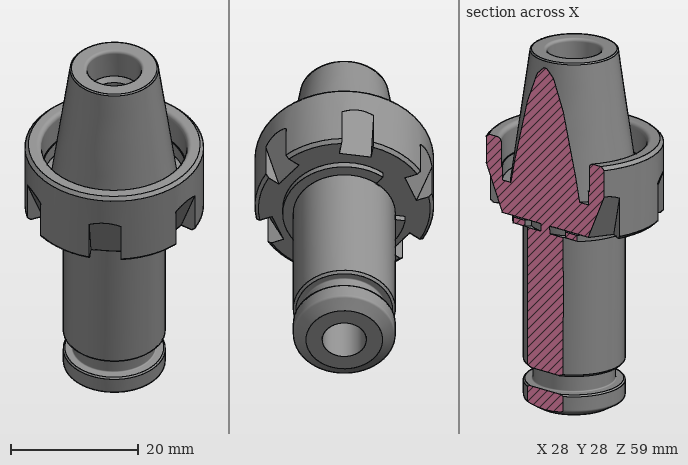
import cadquery as cq
import math

total_height = 59.0
shank_radius = 16.0 / 2
foot_radius = 6.0
foot_cone_angle = 30.0
foot_rounding = 0.5
groove_radius = 13.0 / 2
groove_bottom = 4.0
groove_top = 7.0
groove_lower_chamfer = 0.25
groove_upper_chamfer = 0.4
groove_fillet = 0.2

nut_radius = 28.0 / 2
nut_bottom = 31.5
nut_height = 12.5
nut_top = nut_bottom + nut_height
nut_chamfer = 0.55
mouth_radius = 24.3 / 2
nut_bore_radius = 22.8 / 2
mouth_rounding = mouth_radius - nut_bore_radius
step_height = 39.25
inner_bore_radius = 22.5 / 2

cone_base_radius = 10.0
cone_base_height = 37.0
cone_angle = 8.0
cone_edge_chamfer = 0.2

collar_radius = 19.3 / 2
collar_bottom = 30.3
collar_top = 31.35
neck_radius = 14.3 / 2
opening_angle = 60.0

slot_count = 6
slot_width = 5.0
slot_top = 39.05
slot_bottom_depth = 2.85
slot_overshoot = 1.0

bore_radius = 6.92 / 2
socket_radius = 8.5 / 2
socket_bottom = 54.2
socket_cone_height = 0.7
socket_rounding = 0.5

quarter_arc = math.sqrt(0.5)


def make_body():
    """Shank, neck, nut and cone turned as one profile about Z."""
    cone_slope = math.tan(math.radians(cone_angle))
    cone_top_radius = cone_base_radius - (total_height - cone_base_height) * cone_slope
    cone_edge_height = total_height - cone_edge_chamfer
    cone_edge_radius = cone_top_radius + cone_edge_chamfer * cone_slope
    foot_angle = math.radians(foot_cone_angle)
    foot_corner_height = (shank_radius - foot_radius) * math.tan(foot_angle)
    foot_tangent = foot_rounding * math.tan(math.radians(90 - foot_cone_angle) / 2)
    foot_rounding_start = (
        shank_radius - foot_tangent * math.cos(foot_angle),
        foot_corner_height - foot_tangent * math.sin(foot_angle),
    )
    foot_rounding_end = (shank_radius, foot_corner_height + foot_tangent)
    fillet_mid_radius = groove_radius + groove_fillet * (1 - quarter_arc)
    fillet_mid_rise = groove_fillet * (1 - quarter_arc)
    mouth_mid = (
        mouth_radius - mouth_rounding * quarter_arc,
        nut_top - mouth_rounding * (1 - quarter_arc),
    )
    profile = (
        cq.Workplane("XZ")
        .moveTo(0, 0)
        .lineTo(foot_radius, 0)
        .lineTo(*foot_rounding_start)
        .radiusArc(foot_rounding_end, -foot_rounding)
        .lineTo(shank_radius, groove_bottom - groove_lower_chamfer)
        .lineTo(shank_radius - groove_lower_chamfer, groove_bottom)
        .lineTo(groove_radius + groove_fillet, groove_bottom)
        .threePointArc(
            (fillet_mid_radius, groove_bottom + fillet_mid_rise),
            (groove_radius, groove_bottom + groove_fillet),
        )
        .lineTo(groove_radius, groove_top - groove_fillet)
        .threePointArc(
            (fillet_mid_radius, groove_top - fillet_mid_rise),
            (groove_radius + groove_fillet, groove_top),
        )
        .lineTo(shank_radius - groove_upper_chamfer, groove_top)
        .lineTo(shank_radius, groove_top + groove_upper_chamfer)
        .lineTo(shank_radius, collar_bottom)
        .lineTo(neck_radius, collar_bottom)
        .lineTo(neck_radius, nut_bottom)
        .lineTo(nut_radius - nut_chamfer, nut_bottom)
        .lineTo(nut_radius, nut_bottom + nut_chamfer)
        .lineTo(nut_radius, nut_top - nut_chamfer)
        .lineTo(nut_radius - nut_chamfer, nut_top)
        .lineTo(mouth_radius, nut_top)
        .threePointArc(mouth_mid, (nut_bore_radius, nut_top - mouth_rounding))
        .lineTo(nut_bore_radius, step_height)
        .lineTo(inner_bore_radius, step_height)
        .lineTo(inner_bore_radius, cone_base_height)
        .lineTo(cone_base_radius, cone_base_height)
        .lineTo(cone_edge_radius, cone_edge_height)
        .lineTo(cone_top_radius - cone_edge_chamfer, total_height)
        .lineTo(0, total_height)
        .close()
    )
    return profile.revolve(360, (0, 0, 0), (0, 1, 0))


def make_bore():
    """Through hole with a conical step up to the socket and a rounded mouth."""
    mouth_mid = (
        socket_radius + socket_rounding * (1 - quarter_arc),
        total_height - socket_rounding * (1 - quarter_arc),
    )
    profile = (
        cq.Workplane("XZ")
        .moveTo(0, 0)
        .lineTo(bore_radius, 0)
        .lineTo(bore_radius, socket_bottom - socket_cone_height)
        .lineTo(socket_radius, socket_bottom)
        .lineTo(socket_radius, total_height - socket_rounding)
        .threePointArc(mouth_mid, (socket_radius + socket_rounding, total_height))
        .lineTo(0, total_height)
        .close()
    )
    return profile.revolve(360, (0, 0, 0), (0, 1, 0))


def make_slot(angle):
    """Wedge whose floor starts at the nut surface and deepens evenly to the nut bottom."""
    wedge_depth = slot_bottom_depth + slot_overshoot
    wedge_height = (slot_top - nut_bottom) * wedge_depth / slot_bottom_depth
    return (
        cq.Workplane("XZ")
        .moveTo(nut_radius + slot_overshoot, nut_bottom + wedge_height)
        .lineTo(nut_radius - slot_bottom_depth, nut_bottom)
        .lineTo(nut_radius + slot_overshoot, nut_bottom)
        .close()
        .extrude(slot_width / 2, both=True)
        .rotate((0, 0, 0), (0, 0, 1), angle)
    )


def make_collar():
    """Ring around the neck, with the open sector centred on -X."""
    collar = (
        cq.Workplane("XZ")
        .moveTo(neck_radius, collar_bottom)
        .lineTo(collar_radius, collar_bottom)
        .lineTo(collar_radius, collar_top)
        .lineTo(neck_radius, collar_top)
        .close()
        .revolve(360 - opening_angle, (0, 0, 0), (0, 1, 0))
    )
    return collar.rotate((0, 0, 0), (0, 0, 1), 180 + opening_angle / 2)


result = make_body().union(make_collar()).cut(make_bore())
for index in range(slot_count):
    result = result.cut(make_slot(index * 360 / slot_count))